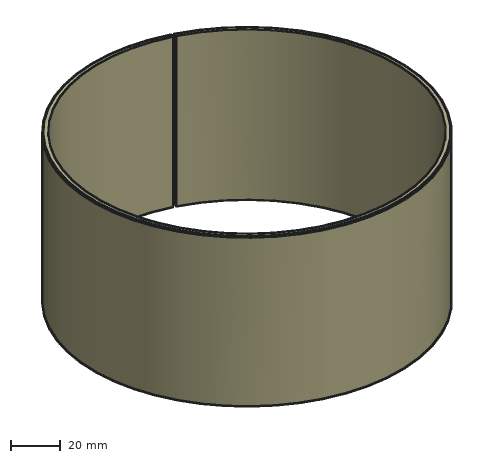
import cadquery as cq

outer_diameter = 165.0
wall = 2.5
height = 80.0
rim_chamfer = 0.5
gap_width = 1.5

outer_radius = outer_diameter / 2
inner_radius = outer_radius - wall


def make_band():
    """Closed band standing on the XY plane, with its top and bottom outer edges chamfered."""
    disc = cq.Workplane("XY").circle(outer_radius).extrude(height)
    chamfered_disc = disc.faces("<Z or >Z").edges().chamfer(rim_chamfer)
    bore = cq.Workplane("XY").circle(inner_radius).extrude(height)
    return chamfered_disc.cut(bore)


def make_gap():
    """Cutter for the full-height gap through the wall on the -X side, starting at Y = 0."""
    return (
        cq.Workplane("XY")
        .box(outer_radius, gap_width, height, centered=False)
        .translate((-outer_radius, 0, 0))
    )


result = make_band().cut(make_gap())